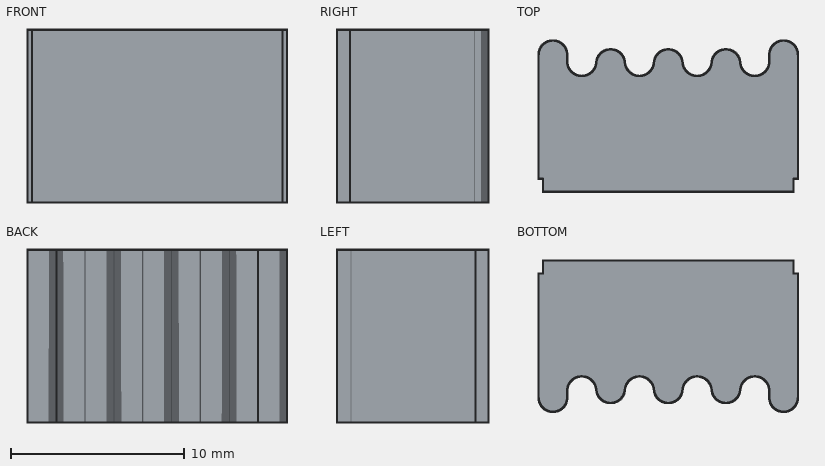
import cadquery as cq

width = 15.0
depth = 8.76
height = 10.0

crest_count = 5
lobe_count = 2 * crest_count - 1
lobe_width = width / lobe_count
lobe_rise = 0.77
end_crest_rise = 0.8
end_crest_extra = 0.51

rebate_width = 0.26
rebate_depth = 0.75

half_width = width / 2
front_y = -depth / 2
back_y = depth / 2
shoulder_y = front_y + rebate_depth
end_spring_y = back_y - end_crest_rise
wave_y = back_y - end_crest_extra - lobe_rise


def add_wave(outline):
    """Draw the alternating troughs and inner crests between the two end crests."""
    for lobe in range(1, lobe_count - 1):
        start_x = -half_width + lobe * lobe_width
        direction = -1 if lobe % 2 else 1
        outline = outline.threePointArc(
            (start_x + lobe_width / 2, wave_y + direction * lobe_rise),
            (start_x + lobe_width, wave_y),
        )
    return outline


def make_outline():
    """Closed plan outline, running clockwise from the left front corner."""
    front_half_width = half_width - rebate_width
    end_crest_x = half_width - lobe_width / 2
    inner_wall_x = half_width - lobe_width
    outline = (
        cq.Workplane("XY")
        .moveTo(-front_half_width, front_y)
        .lineTo(-front_half_width, shoulder_y)
        .lineTo(-half_width, shoulder_y)
        .lineTo(-half_width, end_spring_y)
        .threePointArc((-end_crest_x, back_y), (-inner_wall_x, end_spring_y))
        .lineTo(-inner_wall_x, wave_y)
    )
    return (
        add_wave(outline)
        .lineTo(inner_wall_x, end_spring_y)
        .threePointArc((end_crest_x, back_y), (half_width, end_spring_y))
        .lineTo(half_width, shoulder_y)
        .lineTo(front_half_width, shoulder_y)
        .lineTo(front_half_width, front_y)
        .close()
    )


result = make_outline().extrude(height)